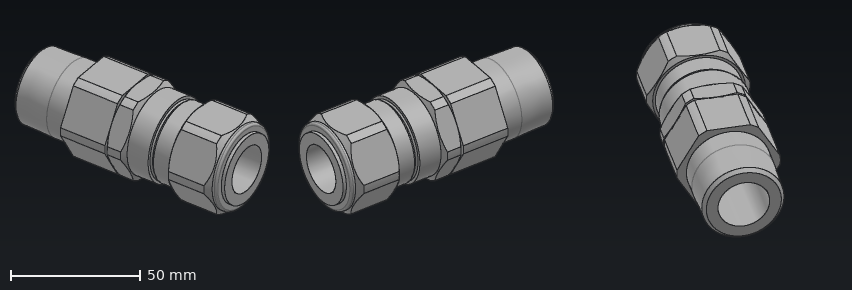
import cadquery as cq
import math

total_length = 98.65
across_flats = 37.5
corner_radius = 20.6

thread_start_radius = 16.4
thread_chamfer = 1.5
thread_end_x = 16.2
shank_radius = 16.8
shank_end_x = 25.4

body_end_x = 46.2
gland_face_radius = 18.6
gland_lead_chamfer = 1.1
gland_end_x = 55.0
gland_tail_chamfer = 1.5
collar_radius = 18.25
collar_end_x = 64.9

groove_edge_radius = 17.0
groove_radius = 16.4
groove_x = 65.7
neck_radius = 17.4
neck_start_x = 66.8

cap_start_x = 74.7
cap_face_radius = 18.4
cap_lead_chamfer = 1.4
cap_cone_start_x = 92.7
rim_start_x = 95.1
rim_radius = 18.3
rim_end_x = 97.1
rim_fillet = 1.0
tip_radius = 15.0

entry_bore_radius = 10.3
inner_bore_radius = 10.1


def revolve_profile(points):
    """Solid of revolution about X from outer (x, radius) points."""
    closed = [(points[0][0], 0)] + points + [(points[-1][0], 0)]
    return cq.Workplane("XY").polyline(closed).close().revolve(360, (0, 0, 0), (1, 0, 0))


def cylinder(start_x, end_x, radius):
    return cq.Workplane("YZ", origin=(start_x, 0, 0)).circle(radius).extrude(end_x - start_x)


def hexagon(start_x, end_x):
    """Hexagonal prism with flats facing +Z and -Z."""
    across_corners = across_flats / math.cos(math.pi / 6)
    prism = cq.Workplane("YZ", origin=(start_x, 0, 0)).polygon(6, across_corners)
    return prism.extrude(end_x - start_x)


def make_pipe_end():
    return revolve_profile([
        (0, thread_start_radius - thread_chamfer),
        (thread_chamfer, thread_start_radius),
        (thread_end_x, shank_radius),
        (shank_end_x, shank_radius),
    ])


def make_body():
    return hexagon(shank_end_x, body_end_x).intersect(
        cylinder(shank_end_x, body_end_x, corner_radius)
    )


def make_gland_nut():
    turned = revolve_profile([
        (body_end_x, gland_face_radius),
        (body_end_x + gland_lead_chamfer, corner_radius),
        (gland_end_x - gland_tail_chamfer, corner_radius),
        (gland_end_x, collar_radius),
    ])
    return hexagon(body_end_x, gland_end_x).intersect(turned)


def make_collar_and_neck():
    return revolve_profile([
        (gland_end_x, collar_radius),
        (collar_end_x, collar_radius),
        (collar_end_x, groove_edge_radius),
        (groove_x, groove_radius),
        (neck_start_x, neck_radius),
        (cap_start_x, neck_radius),
    ])


def make_cap_nut():
    turned = revolve_profile([
        (cap_start_x, cap_face_radius),
        (cap_start_x + cap_lead_chamfer, corner_radius),
        (cap_cone_start_x, corner_radius),
        (rim_start_x, rim_radius),
    ])
    nut = hexagon(cap_start_x, rim_start_x).intersect(turned)
    rim = cylinder(rim_start_x, rim_end_x, rim_radius).faces(">X").edges().fillet(rim_fillet)
    tip = cylinder(rim_end_x, total_length, tip_radius)
    return nut.union(rim).union(tip)


def make_bore():
    entry = cylinder(0, body_end_x, entry_bore_radius)
    return entry.union(cylinder(body_end_x, total_length, inner_bore_radius))


result = (
    make_pipe_end()
    .union(make_body())
    .union(make_gland_nut())
    .union(make_collar_and_neck())
    .union(make_cap_nut())
    .cut(make_bore())
)